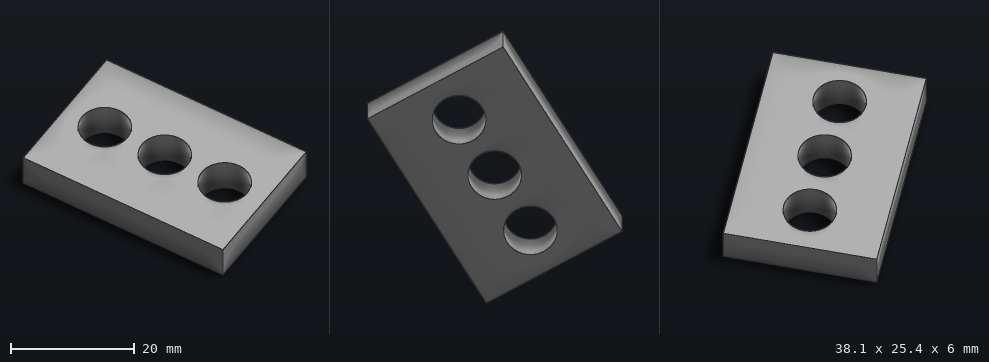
import cadquery as cq

LENGTH = 38.1
WIDTH = 25.4
THICKNESS = 6.0

HOLE_DIAMETER = 8.64
HOLE_COUNT = 3
HOLE_PITCH = 11.43
ROW_COUNT = 1
ROW_PITCH = 1.0


def make_plate():
    """Rectangular plate centred on the origin in X and Y, with its base at Z = 0."""
    return cq.Workplane("XY").box(LENGTH, WIDTH, THICKNESS, centered=(True, True, False))


def drill_hole_row(plate):
    """Drill the row of through holes down from the top face."""
    return (
        plate.faces(">Z")
        .workplane()
        .rarray(HOLE_PITCH, ROW_PITCH, HOLE_COUNT, ROW_COUNT)
        .hole(HOLE_DIAMETER)
    )


result = drill_hole_row(make_plate())